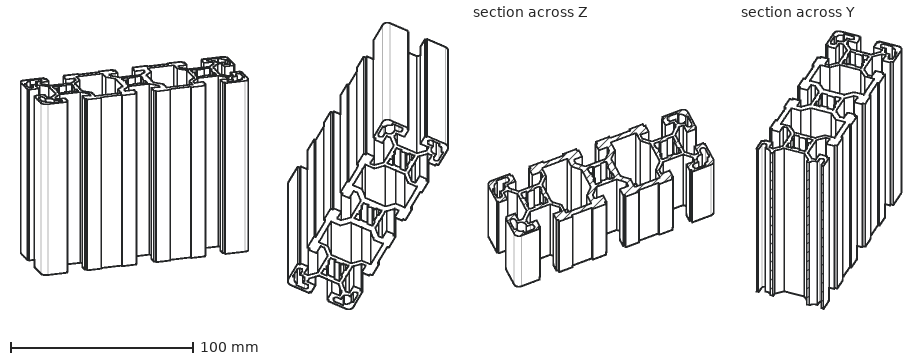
import cadquery as cq

length_y = 120.0
module_count = 3
module = length_y / module_count
height = 100.0
half_width = module / 2
half_length = length_y / 2
outer_corner_radius = 3.0

slot_mouth_half = 4.9
slot_inner_half = 10.0
slot_floor_half = 6.0
slot_floor = 7.5
slot_flare = slot_floor + slot_inner_half - slot_floor_half
lip_depth = 6.1
side_notch_depth = 1.5
end_notch_depth = 0.7
lip_notch_width = 1.0

groove_half = 6.0
groove_depth = 1.0

bore_half = 5.5
rib_base_half = 2.4
rib_tip_half = 1.9
rib_tip_radius = 4.9
rib_inner_end = 4.3

chamber_half_width = 16.0
chamber_flat_half = 6.1
chamber_bevel = 4.2
chamber_inner_end = 9.0
chamber_outer_end = 32.4

pocket_centre = 5.5
pocket_radius = 2.9
leg_wall = 1.5
leg_width = 3.0
leg_end = 12.1

module_centres = [(i - (module_count - 1) / 2) * module for i in range(module_count)]
chamber_centres = [(a + b) / 2 for a, b in zip(module_centres, module_centres[1:])]


def prism(points):
    """Full-height prism with the given outline."""
    return cq.Workplane("XY").polyline(points).close().extrude(height)


def block(x_min, x_max, y_min, y_max):
    """Full-height block between the given limits."""
    return prism([(x_min, y_min), (x_max, y_min), (x_max, y_max), (x_min, y_max)])


def t_slot(angle, centre_y, notch_depth):
    """T-slot opening towards +X, turned by the angle and moved to its module."""
    notch_half = slot_mouth_half + lip_notch_width
    notch_floor = half_width - notch_depth
    lip_floor = half_width - lip_depth
    side = [
        (half_width, notch_half),
        (notch_floor, notch_half),
        (notch_floor, slot_mouth_half),
        (lip_floor, slot_mouth_half),
        (lip_floor, slot_inner_half),
        (slot_flare, slot_inner_half),
        (slot_floor, slot_floor_half),
    ]
    mirrored_side = [(x, -y) for x, y in reversed(side)]
    slot = prism(side + mirrored_side)
    return slot.rotate((0, 0, 0), (0, 0, 1), angle).translate((0, centre_y, 0))


def ribbed_bore(centre_y):
    """Square bore less the tapered ribs that reach in to the tip circle."""
    bore = block(-bore_half, bore_half, -bore_half, bore_half)
    tip_circle = cq.Workplane("XY").circle(rib_tip_radius).extrude(height)
    rib = prism([
        (-rib_base_half, bore_half),
        (-rib_tip_half, rib_inner_end),
        (rib_tip_half, rib_inner_end),
        (rib_base_half, bore_half),
    ]).cut(tip_circle)
    for angle in (0, 90, 180, 270):
        bore = bore.cut(rib.rotate((0, 0, 0), (0, 0, 1), angle))
    return bore.translate((0, centre_y, 0))


def chamber(direction):
    """Bevelled chamber on the +Y or -Y side of the middle module."""
    bevel_end = chamber_flat_half + chamber_bevel
    inner_side = chamber_inner_end + chamber_bevel
    outer_side = chamber_outer_end - chamber_bevel
    side = [
        (chamber_flat_half, chamber_inner_end),
        (bevel_end, inner_side),
        (chamber_half_width, inner_side),
        (chamber_half_width, outer_side),
        (bevel_end, outer_side),
        (chamber_flat_half, chamber_outer_end),
    ]
    mirrored_side = [(-x, y) for x, y in reversed(side)]
    return prism([(x, direction * y) for x, y in side + mirrored_side])


def corner_pocket(x_sign, y_sign):
    """Round hollow with a round-ended leg along each of the two outer faces."""
    leg_radius = leg_width / 2
    leg_axis = leg_wall + leg_radius
    leg_stop = leg_end - leg_radius
    pocket = cq.Workplane("XY").circle(pocket_radius).extrude(height)
    pocket = pocket.translate((pocket_centre, pocket_centre, 0))
    pocket = pocket.union(block(leg_wall, leg_wall + leg_width, pocket_centre, leg_stop))
    pocket = pocket.union(block(pocket_centre, leg_stop, leg_wall, leg_wall + leg_width))
    leg_ends = [(leg_axis, leg_stop), (leg_stop, leg_axis)]
    pocket = pocket.union(cq.Workplane("XY").pushPoints(leg_ends).circle(leg_radius).extrude(height))
    pocket = pocket.translate((-half_width, -half_length, 0))
    if x_sign > 0:
        pocket = pocket.mirror("YZ")
    if y_sign > 0:
        pocket = pocket.mirror("XZ")
    return pocket


body = cq.Workplane("XY").rect(module, length_y).extrude(height)
body = body.edges("|Z").fillet(outer_corner_radius)

for y in module_centres:
    for angle in (0, 180):
        body = body.cut(t_slot(angle, y, side_notch_depth))
    body = body.cut(ribbed_bore(y))

for angle, y in ((90, module_centres[-1]), (-90, module_centres[0])):
    body = body.cut(t_slot(angle, y, end_notch_depth))

groove_floor = half_width - groove_depth
for y in chamber_centres:
    body = body.cut(block(groove_floor, half_width, y - groove_half, y + groove_half))
    body = body.cut(block(-half_width, -groove_floor, y - groove_half, y + groove_half))

for direction in (-1, 1):
    body = body.cut(chamber(direction))

for x_sign in (-1, 1):
    for y_sign in (-1, 1):
        body = body.cut(corner_pocket(x_sign, y_sign))

result = body